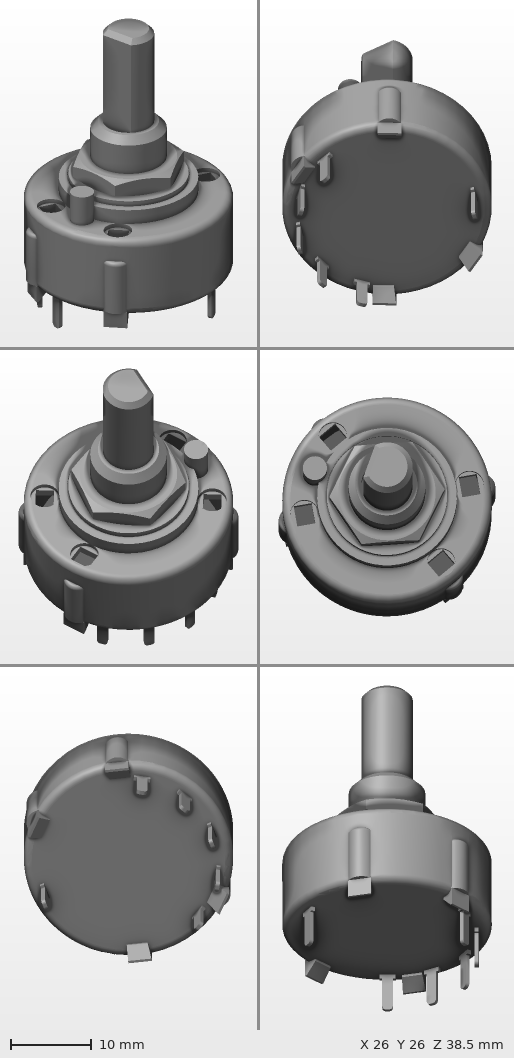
import cadquery as cq


overall_height = 38.5
pin_drop = 4.95

body_radius = 26.0 / 2
body_height = 10.63
body_rounding = 1.0

flange_radius = 17.32 / 2
flange_height = 1.92
flange_top = body_height + flange_height
seat_radius = 15.3 / 2
seat_depth = 0.15

washer_radius = 14.95 / 2
washer_rise = 0.6
nut_across_corners = 14.32
nut_height = 2.4
nut_turn = -6.2
nut_face_radius = 6.05
nut_corner_drop = 0.5
nut_bottom = flange_top + washer_rise
nut_top = nut_bottom + nut_height

bushing_radius = 9.5 / 2
bushing_top = 20.52
bushing_chamfer = 0.95
shaft_radius = 6.4 / 2
shaft_top = overall_height - pin_drop
shaft_chamfer = 0.65
shaft_flat_offset = 2.35
bore_depth = 1.55

peg_radius = 3.0 / 2
peg_offset = 9.5
peg_height = 3.95

snap_angle = 60
rib_radius = 3.55 / 2
rib_offset = 11.85
rib_bottom = 0.55
rib_top = 7.65
rib_rounding = 0.5
clip_width = 2.95
clip_taper = 0.35
clip_outer = 12.97
clip_inner = 11.13
clip_drop = 1.75
clip_foot = 0.3
clip_root_drop = 0.3
window_offset = 10.4
window_radius = 3.55 / 2
window_depth = 0.58
pocket_length = 2.27
pocket_width = 2.58
pocket_depth = 1.05

cavity_radius = 11.95
cavity_top = body_height - window_depth - pocket_depth
cavity_floor = body_height - cavity_top

pin_angles = (15, 135, 165, 195, 225, 255)
pin_offset = 11.13
pin_width = 1.3
pin_thickness = 0.5
pin_tip_rounding = 0.45
shoulder_width = 2.05
shoulder_drop = 0.58

embed = 0.4


def cylinder(radius, bottom, top):
    """Upright cylinder on the part axis."""
    return cq.Workplane("XY").workplane(offset=bottom).circle(radius).extrude(top - bottom)


def box(x_start, x_end, width, bottom, top):
    """Box from x_start to x_end, centred on Y = 0."""
    size = (x_end - x_start, width, top - bottom)
    block = cq.Workplane("XY").box(*size, centered=(False, True, False))
    return block.translate((x_start, 0, bottom))


def turned(shape, angle):
    """Shape drawn on the +X axis, swung to its angle about Z."""
    return shape.rotate((0, 0, 0), (0, 0, 1), angle)


def make_body():
    """Rounded drum with the flange on top and the washer seat sunk into it."""
    body = cylinder(body_radius, 0, body_height).edges().fillet(body_rounding)
    flange = cylinder(flange_radius, body_height - embed, flange_top)
    seat = cylinder(seat_radius, flange_top - seat_depth, flange_top)
    return body.union(flange).cut(seat)


def make_nut():
    """Hexagon nut with the corners of both faces turned to a cone."""
    corner_radius = nut_across_corners / 2
    hexagon = cq.Workplane("XY").workplane(offset=nut_bottom).polygon(6, nut_across_corners).extrude(nut_height)
    envelope = (
        cq.Workplane("XZ")
        .moveTo(0, nut_bottom)
        .lineTo(nut_face_radius, nut_bottom)
        .lineTo(corner_radius, nut_bottom + nut_corner_drop)
        .lineTo(corner_radius, nut_top - nut_corner_drop)
        .lineTo(nut_face_radius, nut_top)
        .lineTo(0, nut_top)
        .close()
        .revolve(360, (0, 0, 0), (0, 1, 0))
    )
    return turned(hexagon.intersect(envelope), nut_turn)


def make_shaft():
    """Shaft with a flat on its -Y side and a chamfered tip."""
    shaft = cylinder(shaft_radius, bushing_top - bore_depth - embed, shaft_top)
    keep = cq.Workplane("XY").box(
        2 * shaft_radius, shaft_radius + shaft_flat_offset, shaft_top, centered=(True, False, False)
    )
    shaft = shaft.intersect(keep.translate((0, -shaft_flat_offset, 0)))
    return shaft.faces(">Z").chamfer(shaft_chamfer)


def make_rib():
    """Upright round rib, half sunk into the side of the body."""
    rib = cylinder(rib_radius, rib_bottom, rib_top).faces(">Z").edges().fillet(rib_rounding)
    return rib.translate((rib_offset, 0, 0))


def make_clip():
    """Hook with one side tapering in plan and its inner lower corner sloped off."""
    plan = (
        cq.Workplane("XY")
        .workplane(offset=-clip_drop)
        .moveTo(clip_outer, clip_width / 2)
        .lineTo(clip_inner, clip_width / 2 - clip_taper)
        .lineTo(clip_inner, -clip_width / 2)
        .lineTo(clip_outer, -clip_width / 2)
        .close()
        .extrude(clip_drop + rib_bottom)
    )
    profile = (
        cq.Workplane("XZ")
        .moveTo(clip_outer, rib_bottom)
        .lineTo(clip_outer, -clip_drop)
        .lineTo(clip_outer - clip_foot, -clip_drop)
        .lineTo(clip_inner, -clip_root_drop)
        .lineTo(clip_inner, rib_bottom)
        .close()
        .extrude(clip_width / 2, both=True)
    )
    return plan.intersect(profile)


def make_window():
    """Round sink in the body top with a rectangular pocket going on down to the cavity."""
    floor = body_height - window_depth
    sink = cylinder(window_radius, floor, body_height).translate((window_offset, 0, 0))
    pocket = box(
        window_offset - pocket_length / 2,
        window_offset + pocket_length / 2,
        pocket_width,
        floor - pocket_depth,
        floor,
    )
    return sink.union(pocket)


def make_pin():
    """Flat terminal with a wider shoulder under the body and a rounded tip."""
    inner = pin_offset - pin_thickness / 2
    outer = pin_offset + pin_thickness / 2
    blade = box(inner, outer, pin_width, -pin_drop, embed)
    blade = blade.faces("<Z").edges("|X").fillet(pin_tip_rounding)
    shoulder = box(inner, outer, shoulder_width, -shoulder_drop, embed)
    return blade.union(shoulder)


def four_way(shape):
    """Shape drawn on the +X axis, swung to the snap angle and mirrored into all four quadrants."""
    first = turned(shape, snap_angle)
    pair = first.union(first.mirror("YZ"))
    return pair.union(pair.mirror("XZ"))


result = make_body()
result = result.union(four_way(make_rib())).union(four_way(make_clip()))
result = result.cut(four_way(make_window()))
result = result.cut(cylinder(cavity_radius, cavity_floor, cavity_top))

peg = cylinder(peg_radius, body_height - embed, body_height + peg_height).translate((0, -peg_offset, 0))
washer = cylinder(washer_radius, flange_top - seat_depth, nut_bottom)
bushing = cylinder(bushing_radius, nut_bottom, bushing_top).faces(">Z").chamfer(bushing_chamfer)
bushing = bushing.cut(cylinder(shaft_radius, bushing_top - bore_depth, bushing_top))
for piece in (peg, washer, make_nut(), bushing, make_shaft()):
    result = result.union(piece)

for angle in pin_angles:
    result = result.union(turned(make_pin(), angle))